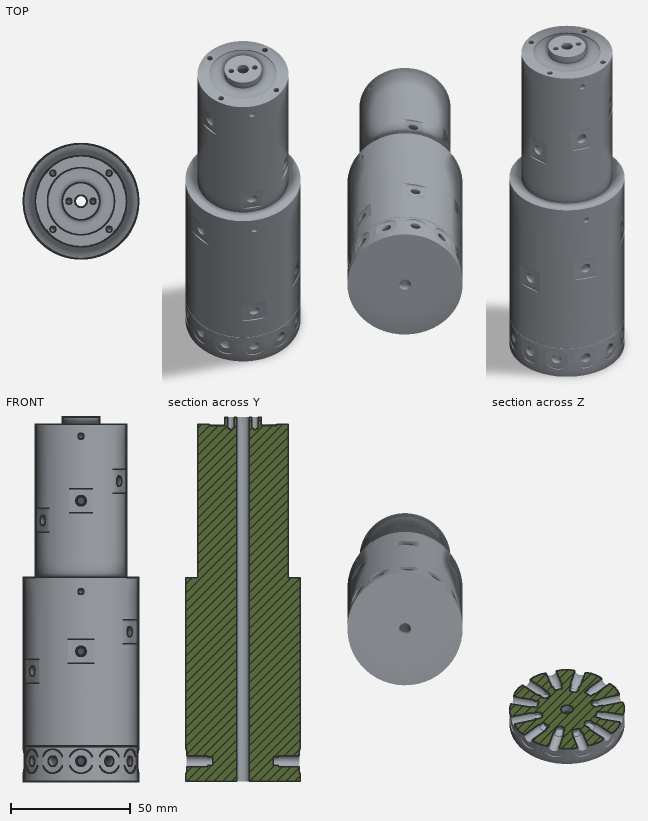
import cadquery as cq
import math

total_height = 152.0
base_radius = 24.0
base_height = 85.1
upper_radius = 19.0
upper_top = 149.0
boss_radius = 7.8
bore_radius = 2.5

recess_radius = 14.0
recess_depth = 0.5

groove_bottom = 14.5
groove_width = 0.5
groove_depth = 0.2

port_radius = 2.1
port_depth = 9.1
pilot_radius = 1.7
pilot_depth = 11.4

ring_port_count = 12
ring_port_height = 8.5
spot_radius = 5.0
spot_depth = 0.5

pad_count = 6
pad_height = 10.0
pad_depth = 0.6
pad_rise = 8.2
base_pad_start = 29.6
upper_pad_start = 92.4

passage_radius = 1.8
passage_offset = base_radius - pilot_depth

small_hole_radius = 1.2
small_hole_depth = 4.5
drill_point_angle = 118.0
base_pin_drop = 6.0
upper_pin_drop = 5.0
bolt_circle_radius = 16.5
bolt_count = 4
bolt_start_angle = 45.0
boss_hole_offset = 5.0
boss_hole_count = 2

FRONT = -90.0
BACK = 90.0


def cylinder(radius, bottom, top):
    return cq.Workplane("XY").workplane(offset=bottom).circle(radius).extrude(top - bottom)


def turn(shape, angle):
    return shape.rotate((0, 0, 0), (0, 0, 1), angle)


def even_angles(count, start):
    return [start + index * 360.0 / count for index in range(count)]


def place_radially(shape, distance, height, angle):
    """Lay an upright tool on its side so that its +Z points away from the axis of the body."""
    on_side = shape.rotate((0, 0, 0), (0, 1, 0), 90)
    return turn(on_side.translate((distance, 0, height)), angle)


def port_tool():
    """Stepped port with its mouth at Z = 0, going down."""
    return cylinder(port_radius, -port_depth, 0).union(cylinder(pilot_radius, -pilot_depth, 0))


def drilled_hole_tool():
    """Small hole with a conical drill point and its mouth at Z = 0, going down."""
    point_length = small_hole_radius / math.tan(math.radians(drill_point_angle / 2))
    profile = [
        (0, 0),
        (small_hole_radius, 0),
        (small_hole_radius, -small_hole_depth),
        (0, -small_hole_depth - point_length),
    ]
    return cq.Workplane("XZ").polyline(profile).close().revolve(360, (0, 0), (0, 1))


def pad_tool(body_radius, height, angle):
    """Block that slices a flat of pad_height off the side of a cylinder."""
    block = cq.Workplane("XY").box(body_radius, 2 * body_radius, pad_height)
    return turn(block.translate((1.5 * body_radius - pad_depth, 0, height)), angle)


def make_body():
    body = cylinder(base_radius, 0, base_height)
    body = body.union(cylinder(upper_radius, base_height, upper_top))
    body = body.cut(cylinder(recess_radius, upper_top - recess_depth, upper_top))
    body = body.union(cylinder(boss_radius, upper_top - recess_depth, total_height))
    return body.cut(cylinder(bore_radius, 0, total_height))


def cut_groove(body):
    groove_top = groove_bottom + groove_width
    groove = cylinder(base_radius, groove_bottom, groove_top)
    return body.cut(groove.cut(cylinder(base_radius - groove_depth, groove_bottom, groove_top)))


def cut_pad_spiral(body, body_radius, start_height):
    """Evenly spaced pads with ports, rising counter-clockwise from the back."""
    for index, angle in enumerate(even_angles(pad_count, BACK)):
        height = start_height + index * pad_rise
        body = body.cut(pad_tool(body_radius, height, angle))
        body = body.cut(place_radially(port_tool(), body_radius, height, angle))
    return body


def cut_ring_ports(body):
    spot = cylinder(spot_radius, -spot_depth, spot_depth)
    for angle in even_angles(ring_port_count, 0):
        for tool in (spot, port_tool()):
            body = body.cut(place_radially(tool, base_radius, ring_port_height, angle))
    return body


def cut_passages(body):
    for index, angle in enumerate(even_angles(pad_count, BACK)):
        top = base_pad_start + index * pad_rise + pilot_radius
        passage = cylinder(passage_radius, ring_port_height - pilot_radius, top)
        body = body.cut(turn(passage.translate((passage_offset, 0, 0)), angle))
    return body


def cut_pin_holes(body, body_radius, height):
    for angle in (FRONT, BACK):
        body = body.cut(place_radially(drilled_hole_tool(), body_radius, height, angle))
    return body


def cut_top_holes(body, offset, count, start, top):
    hole = drilled_hole_tool().translate((offset, 0, top))
    for angle in even_angles(count, start):
        body = body.cut(turn(hole, angle))
    return body


result = cut_groove(make_body())
result = cut_pad_spiral(result, base_radius, base_pad_start)
result = cut_pad_spiral(result, upper_radius, upper_pad_start)
result = cut_ring_ports(result)
result = cut_passages(result)
result = cut_pin_holes(result, base_radius, base_height - base_pin_drop)
result = cut_pin_holes(result, upper_radius, upper_top - upper_pin_drop)
result = cut_top_holes(result, bolt_circle_radius, bolt_count, bolt_start_angle, upper_top)
result = cut_top_holes(result, boss_hole_offset, boss_hole_count, 0, total_height)